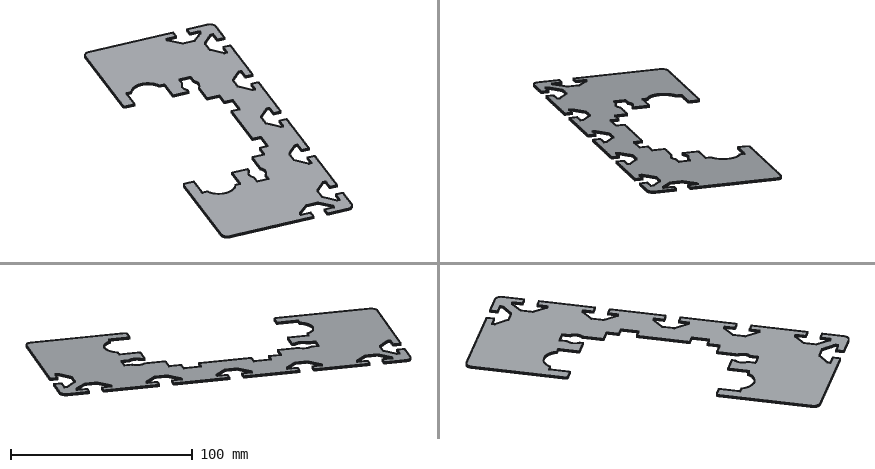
import cadquery as cq

LENGTH = 200.0
WIDTH = 78.0
THICKNESS = 1.0
CORNER_RADIUS = 3.5

SLOT_PITCH = 40.0
SLOT_COUNT = 5
END_SLOT_OFFSET = SLOT_PITCH / 2
SLOT_OPENING = 8.2
SLOT_LIP = 4.5
SLOT_INNER_WIDTH = 20.0
SLOT_SIDE_WALL = 1.5
SLOT_FLOOR_WIDTH = 7.0
SLOT_DEPTH = 12.2

MOUTH_HALF_WIDTH = 42.0
MOUTH_EDGE_RADIUS = 1.5
UPPER_HALF_WIDTH = 32.0
UPPER_ROOF = 53.0
NOTCH_OUTER = 25.0
NOTCH_INNER = 15.0
NOTCH_ROOF = 58.0

GROOVE_HALF_WIDTH = 55.5
GROOVE_HEIGHT = 6.8
GROOVE_AXIS = 42.2
GROOVE_BORE_X = 47.5
GROOVE_BORE_DIAMETER = 9.8

POCKET_HALF_WIDTH = 54.0
POCKET_HEIGHT = 22.8
POCKET_AXIS = 18.0
BULGE_RADIUS = 9.2
BULGE_REACH = 59.5


def box_between(x_min, x_max, y_min, y_max):
    """Block through the plate thickness between the given sides."""
    return (
        cq.Workplane("XY")
        .center((x_min + x_max) / 2, (y_min + y_max) / 2)
        .rect(x_max - x_min, y_max - y_min)
        .extrude(THICKNESS)
    )


def make_t_slot():
    """T-slot cutter with its mouth at the origin, running down -Y."""
    half_opening = SLOT_OPENING / 2
    half_inner = SLOT_INNER_WIDTH / 2
    half_floor = SLOT_FLOOR_WIDTH / 2
    wall_end = SLOT_LIP + SLOT_SIDE_WALL
    right_side = [
        (half_opening, 0),
        (half_opening, -SLOT_LIP),
        (half_inner, -SLOT_LIP),
        (half_inner, -wall_end),
        (half_floor, -SLOT_DEPTH),
    ]
    left_side = [(-x, y) for x, y in reversed(right_side)]
    return cq.Workplane("XY").polyline(right_side + left_side).close().extrude(THICKNESS)


def make_mouth():
    """Centre of the channel, stepped in towards its roof."""
    groove_top = GROOVE_AXIS + GROOVE_HEIGHT / 2
    lower = box_between(-MOUTH_HALF_WIDTH, MOUTH_HALF_WIDTH, 0, groove_top)
    upper = box_between(-UPPER_HALF_WIDTH, UPPER_HALF_WIDTH, 0, UPPER_ROOF)
    return lower.union(upper)


def make_right_recesses():
    """Roof notch, side groove and lower pocket on the +X side of the channel."""
    notch = box_between(NOTCH_INNER, NOTCH_OUTER, GROOVE_AXIS, NOTCH_ROOF)
    groove = box_between(
        0,
        GROOVE_HALF_WIDTH,
        GROOVE_AXIS - GROOVE_HEIGHT / 2,
        GROOVE_AXIS + GROOVE_HEIGHT / 2,
    )
    groove_bore = (
        cq.Workplane("XY")
        .center(GROOVE_BORE_X, GROOVE_AXIS)
        .circle(GROOVE_BORE_DIAMETER / 2)
        .extrude(THICKNESS)
    )
    pocket = box_between(
        0,
        POCKET_HALF_WIDTH,
        POCKET_AXIS - POCKET_HEIGHT / 2,
        POCKET_AXIS + POCKET_HEIGHT / 2,
    )
    bulge = (
        cq.Workplane("XY")
        .center(BULGE_REACH - BULGE_RADIUS, POCKET_AXIS)
        .circle(BULGE_RADIUS)
        .extrude(THICKNESS)
    )
    return notch.union(groove).union(groove_bore).union(pocket).union(bulge)


plate = box_between(-LENGTH / 2, LENGTH / 2, 0, WIDTH)
plate = plate.edges("|Z").fillet(CORNER_RADIUS)

plate = plate.cut(make_mouth())
for side in (-1, 1):
    edge_x = side * MOUTH_HALF_WIDTH
    mouth_edge = cq.selectors.NearestToPointSelector((edge_x, 0, THICKNESS / 2))
    plate = plate.edges("|Z").edges(mouth_edge).fillet(MOUTH_EDGE_RADIUS)

right_recesses = make_right_recesses()
plate = plate.cut(right_recesses).cut(right_recesses.mirror("YZ"))

t_slot = make_t_slot()
for index in range(SLOT_COUNT):
    slot_x = (index - (SLOT_COUNT - 1) / 2) * SLOT_PITCH
    plate = plate.cut(t_slot.translate((slot_x, WIDTH, 0)))

for side in (-1, 1):
    end_slot = t_slot.rotate((0, 0, 0), (0, 0, 1), -90 * side)
    plate = plate.cut(end_slot.translate((side * LENGTH / 2, WIDTH - END_SLOT_OFFSET, 0)))

result = plate